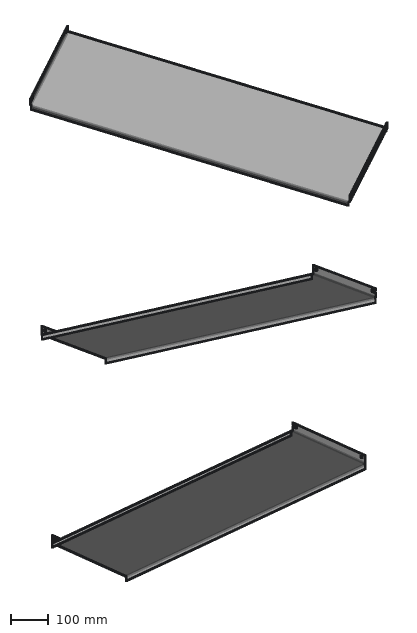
import cadquery as cq

length = 906.0
width = 275.0
height = 38.0

sheet = 1.45
bend_radius = 3.2
inner_radius = bend_radius - sheet
skirt_height = 14.5
skirt_length = length - 2 * bend_radius
wall_width = width - 2 * bend_radius
deck_top = skirt_height
deck_bottom = deck_top - sheet

opening_width = 6.0
opening_drop = 9.0
opening_height = height - opening_drop
hole_inset = 14.0
hole_y = wall_width / 2 - hole_inset
slot_depth = 16.0


def block(size_x, size_y, size_z, base_z):
    """Box centred on the Z axis, standing on base_z."""
    return (
        cq.Workplane("XY")
        .workplane(offset=base_z)
        .box(size_x, size_y, size_z, centered=(True, True, False))
    )


def end_channel():
    """Upward-facing channel: the deck with a wall folded up at each end."""
    wall_height = height - deck_bottom
    outer = block(length, wall_width, wall_height, deck_bottom).edges("|Y and <Z").fillet(bend_radius)
    inner = (
        block(length - 2 * sheet, wall_width, wall_height, deck_top)
        .edges("|Y and <Z")
        .fillet(inner_radius)
    )
    return outer.cut(inner)


def skirt_channel():
    """Downward-facing channel: the deck with a skirt folded down at each side."""
    outer = block(skirt_length, width, deck_top, 0).edges("|X and >Z").fillet(bend_radius)
    inner = (
        block(skirt_length, width - 2 * sheet, deck_bottom, 0)
        .edges("|X and >Z")
        .fillet(inner_radius)
    )
    return outer.cut(inner)


def wall_openings():
    """Round hole near +Y and round-ended slot open at -Y, running along X through both walls."""
    side_plane = cq.Workplane("YZ").workplane(offset=-length / 2)
    hole = side_plane.center(hole_y, opening_height).circle(opening_width / 2).extrude(length)
    slot = (
        side_plane.center(-wall_width / 2, opening_height)
        .slot2D(2 * slot_depth, opening_width)
        .extrude(length)
    )
    return hole.union(slot)


result = end_channel().union(skirt_channel()).cut(wall_openings())